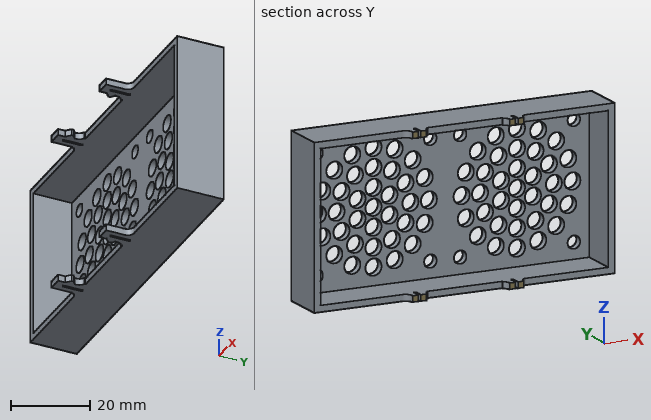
import cadquery as cq
import math

width = 84.6
height = 44.5
body_depth = 13.0
wall = 1.8
floor_thickness = 2.2

fan_pitch = 40.4
screw_spacing = 32.0
screw_hole_diameter = 3.5
vent_hole_diameter = 4.5
vent_ring_step = 5.2
vent_ring_counts = (6, 12, 16)

arm_length = 7.0
arm_overlap = 0.75
arm_outer_x = 15.7
arm_width = 3.8
arm_inner_x = arm_outer_x - arm_width
root_radius = 1.8
inner_root_drop = 0.25
neck_offset = 0.25
bump_height = 1.35
bump_start = 2.45
bump_flat_start = 3.3
bump_flat_end = 3.9
bump_end = 5.0

slot_width = 0.6
slot_into_wall = 0.75
slot_beyond_rim = 4.8
slot_inset = 2.0
slot_x = arm_outer_x - slot_inset

rim_y = -body_depth


def make_tray():
    outer = cq.Workplane("XY").box(width, body_depth, height)
    outer = outer.translate((0, -body_depth / 2, 0))
    cavity_depth = body_depth - floor_thickness
    cavity = cq.Workplane("XY").box(width - 2 * wall, cavity_depth, height - 2 * wall)
    return outer.cut(cavity.translate((0, rim_y + cavity_depth / 2, 0)))


def floor_holes(points, diameter):
    """Cylinders through the floor at the given (x, z) points."""
    plane = cq.Workplane("XZ")
    return plane.pushPoints(points).circle(diameter / 2).extrude(floor_thickness)


def vent_points(center_x):
    """A central hole surrounded by concentric rings of holes."""
    points = [(center_x, 0)]
    for ring, count in enumerate(vent_ring_counts, start=1):
        radius = ring * vent_ring_step
        for i in range(count):
            angle = math.pi / 2 + 2 * math.pi * i / count
            points.append((center_x + radius * math.cos(angle), radius * math.sin(angle)))
    return points


def screw_points(center_x):
    half = screw_spacing / 2
    return [(center_x + sx * half, sz * half) for sx in (-1, 1) for sz in (-1, 1)]


def make_arm():
    """Clip arm on the +X side of the lower wall, with its bump facing the middle."""
    neck_x = arm_inner_x - neck_offset
    bump_x = arm_inner_x - bump_height
    tip_y = rim_y - arm_length
    root_y = rim_y - root_radius
    arc_inset = root_radius * (1 - math.sqrt(0.5))

    inner_root_y = root_y - inner_root_drop
    sweep = math.acos(1 - (neck_x - bump_x) / root_radius)
    inner_arc_mid = (
        neck_x - root_radius * (1 - math.cos(sweep / 2)),
        inner_root_y + root_radius * math.sin(sweep / 2),
    )
    inner_arc_top_y = inner_root_y + root_radius * math.sin(sweep)

    outline = (
        cq.Workplane("XY", origin=(0, 0, -height / 2))
        .moveTo(bump_x, rim_y + arm_overlap)
        .lineTo(bump_x, inner_arc_top_y)
        .threePointArc(inner_arc_mid, (neck_x, inner_root_y))
        .lineTo(neck_x, rim_y - bump_start)
        .lineTo(bump_x, rim_y - bump_flat_start)
        .lineTo(bump_x, rim_y - bump_flat_end)
        .lineTo(arm_inner_x, rim_y - bump_end)
        .lineTo(arm_inner_x, tip_y)
        .lineTo(arm_outer_x, tip_y)
        .lineTo(arm_outer_x, root_y)
        .threePointArc(
            (arm_outer_x + arc_inset, rim_y - arc_inset),
            (arm_outer_x + root_radius, rim_y),
        )
        .lineTo(arm_outer_x + root_radius, rim_y + arm_overlap)
        .close()
    )
    return outline.extrude(wall)


def make_slot():
    """Round-ended slot through the lower wall and the +X arm."""
    slot_length = slot_into_wall + slot_beyond_rim
    slot_y = rim_y + (slot_into_wall - slot_beyond_rim) / 2
    plane = cq.Workplane("XY", origin=(slot_x, slot_y, -height / 2))
    return plane.slot2D(slot_length, slot_width, 90).extrude(wall)


def four_copies(shape):
    """The shape together with its mirror images in X and in Z."""
    pair = shape.union(shape.mirror("YZ"))
    return pair.union(pair.mirror("XY"))


result = make_tray()
for fan_x in (-fan_pitch / 2, fan_pitch / 2):
    result = result.cut(floor_holes(vent_points(fan_x), vent_hole_diameter))
    result = result.cut(floor_holes(screw_points(fan_x), screw_hole_diameter))
result = result.union(four_copies(make_arm()))
result = result.cut(four_copies(make_slot()))